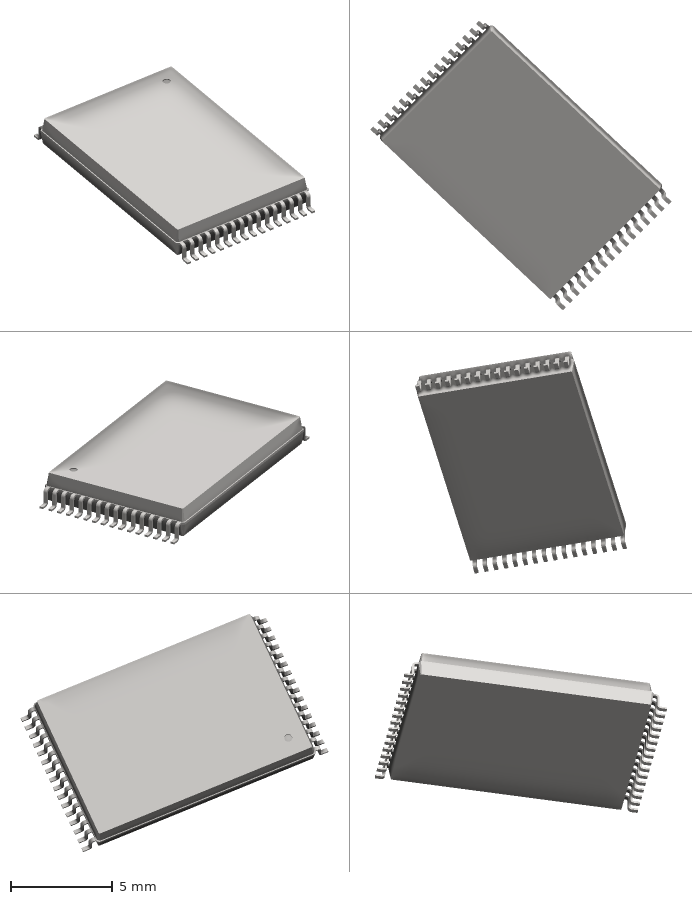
import cadquery as cq
import math

overall_length = 13.2
overall_width = 8.0
overall_height = 1.6

body_length = 11.8
standoff = 0.1
band_height = 0.13
lower_height = 0.67
upper_ledge = 0.05
taper_inset = 0.1
corner_chamfer = 0.1

leads_per_side = 16
lead_row_span = 7.5
lead_width = 0.2
lead_thickness = 0.1
foot_length = 0.38
upper_bend_radius = 0.12
lower_bend_radius = 0.08
lead_embed = 0.13

mark_diameter = 0.4
mark_depth = 0.05
mark_x = -4.85
mark_y = 2.93

band_bottom = standoff + lower_height
band_top = band_bottom + band_height
upper_height = overall_height - band_top


def body_section(z, height, inset, ledge=0):
    """Extrude the chamfered outline, set in by ledge, from z and shrink it by inset on every side."""
    taper = math.degrees(math.atan2(inset, abs(height)))
    length = body_length - 2 * ledge
    width = overall_width - 2 * ledge
    outline = cq.Sketch().rect(length, width).vertices().chamfer(corner_chamfer)
    return cq.Workplane("XY", origin=(0, 0, z)).placeSketch(outline).extrude(height, taper=taper)


def make_body():
    band = body_section(band_bottom, band_height, 0)
    upper = body_section(band_top, upper_height, taper_inset, upper_ledge)
    lower = body_section(band_bottom, -lower_height, taper_inset)
    return band.union(upper).union(lower)


def make_lead():
    """One lead on the -X end, centred on Y = 0, its shoulder level with the top of the band."""
    tip_x = -overall_length / 2
    outer_x = tip_x + foot_length
    inner_x = outer_x + lead_thickness
    root_x = -body_length / 2 + lead_embed
    shoulder_bottom = band_top - lead_thickness
    upper_outer_radius = upper_bend_radius + lead_thickness
    lower_outer_radius = lower_bend_radius + lead_thickness
    profile = (
        cq.Workplane("XZ", origin=(0, lead_width / 2, 0))
        .moveTo(tip_x, 0)
        .lineTo(inner_x - lower_outer_radius, 0)
        .radiusArc((inner_x, lower_outer_radius), -lower_outer_radius)
        .lineTo(inner_x, shoulder_bottom - upper_bend_radius)
        .radiusArc((inner_x + upper_bend_radius, shoulder_bottom), upper_bend_radius)
        .lineTo(root_x, shoulder_bottom)
        .lineTo(root_x, band_top)
        .lineTo(outer_x + upper_outer_radius, band_top)
        .radiusArc((outer_x, band_top - upper_outer_radius), -upper_outer_radius)
        .lineTo(outer_x, lead_thickness + lower_bend_radius)
        .radiusArc((outer_x - lower_bend_radius, lead_thickness), lower_bend_radius)
        .lineTo(tip_x, lead_thickness)
        .close()
    )
    return profile.extrude(lead_width)


def add_leads(body):
    left_lead = make_lead()
    right_lead = left_lead.mirror("YZ")
    lead_pitch = lead_row_span / (leads_per_side - 1)
    first_y = -lead_row_span / 2
    for index in range(leads_per_side):
        offset = (0, first_y + index * lead_pitch, 0)
        body = body.union(left_lead.translate(offset)).union(right_lead.translate(offset))
    return body


def cut_pin_one_mark(body):
    mark_floor = overall_height - mark_depth
    mark = (
        cq.Workplane("XY", origin=(mark_x, mark_y, mark_floor))
        .circle(mark_diameter / 2)
        .extrude(mark_depth)
    )
    return body.cut(mark)


result = cut_pin_one_mark(add_leads(make_body()))